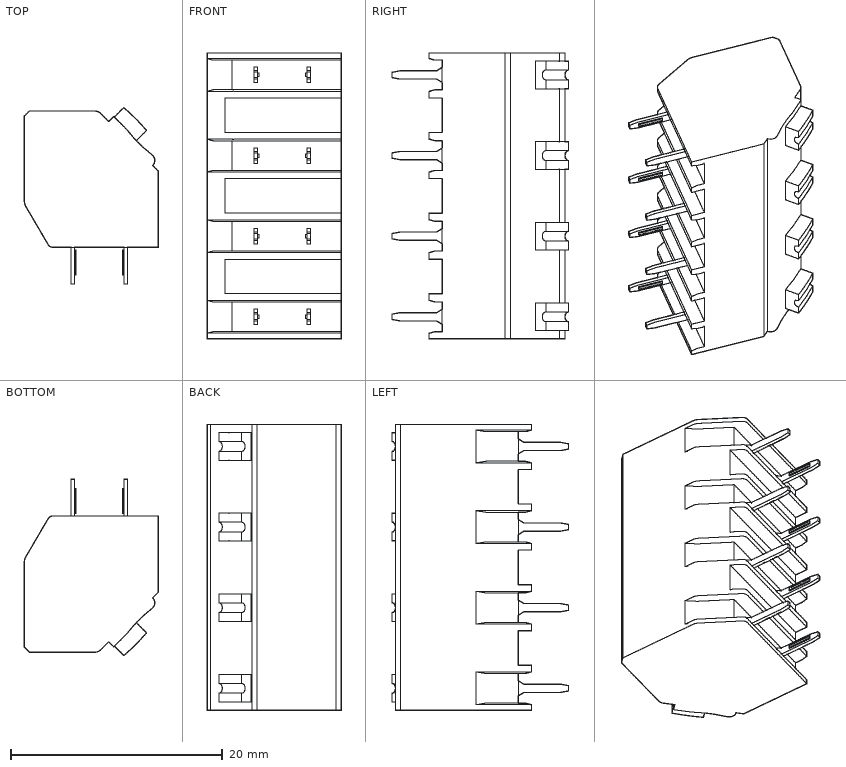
import cadquery as cq
import math

width = 12.7
depth = 12.9
length = 27.05

corner_chamfer = 0.5
slant_height = 4.1
slant_run = 2.4
slant_top_radius = 1.05
slant_bottom_radius = 0.55
bevel_level = 19.92
plate_level = 20.85
plate_start_skew = -3.92
plate_end_skew = 4.4
bevel_radius = 0.65
dish_start_skew = -1.43
dish_end_skew = 3.25
dish_depth = 0.1

contact_count = 4
contact_pitch = 7.63

recess_depth = 1.27
recess_top = 5.28
slot_width = 2.8
slot_mouth = 3.1
rib_bevel = 0.57
pocket_width = 3.25
clearance = 0.27

pin_xs = (4.6, 9.6)
pin_length = 3.5
pin_thickness = 0.35
pin_width = 0.8
pin_root_width = 1.45
pin_flare = 0.51
pin_tip_width = 0.51
pin_tip_length = 0.78
pin_embed = 0.27
bead_height = 0.1
bead_width = 0.32
bead_top = -0.25
bead_bottom = -2.6

button_length = 3.05
button_width = 2.62
button_height = 1.27
button_crown = 0.05
button_setback = 0.08
groove_radius = 0.45

ALONG = cq.Vector(1, -1, 0).normalized()
OUTWARD = cq.Vector(1, 1, 0).normalized()


def bevel_point(level, skew):
    """Point with x + y = level and x - y = skew."""
    return ((level + skew) / 2, (level - skew) / 2)


def corner_edge(body, point):
    """Edge parallel to Z at the given outline corner."""
    return body.edges(cq.selectors.NearestToPointSelector((point[0], point[1], 0)))


def make_housing():
    slant_top = (0, slant_height)
    slant_bottom = (slant_run, 0)
    bevel_top = (bevel_level - depth, depth)
    plate_end = bevel_point(plate_level, plate_end_skew)
    dish_start = bevel_point(plate_level, dish_start_skew)
    dish_end = bevel_point(plate_level, dish_end_skew)
    dish_middle = bevel_point(
        plate_level - dish_depth * math.sqrt(2), (dish_start_skew + dish_end_skew) / 2
    )
    lower_outline = [
        slant_bottom,
        (width, 0),
        (width, bevel_level - width),
        bevel_point(bevel_level, plate_end_skew),
        plate_end,
        dish_end,
    ]
    upper_outline = [
        bevel_point(plate_level, plate_start_skew),
        bevel_point(bevel_level, plate_start_skew),
        bevel_top,
        (corner_chamfer, depth),
        (0, depth - corner_chamfer),
        slant_top,
    ]
    body = (
        cq.Workplane("XY")
        .polyline(lower_outline)
        .threePointArc(dish_middle, dish_start)
        .polyline(upper_outline, includeCurrent=True)
        .close()
        .extrude(length / 2, both=True)
    )
    roundings = (
        (slant_top, slant_top_radius),
        (slant_bottom, slant_bottom_radius),
        (bevel_top, bevel_radius),
        (plate_end, bevel_radius),
    )
    for point, radius in roundings:
        body = corner_edge(body, point).fillet(radius)
    return body


def bevel_prism(start, end):
    """Flared part of a slot along one rib edge, with the rib on the left of start -> end."""
    direction = cq.Vector(end[0] - start[0], end[1] - start[1], 0)
    inward = cq.Vector(-direction.y, direction.x, 0)
    plane = cq.Plane(origin=(start[0], start[1], 0), xDir=inward, normal=direction)
    section = [
        (0, -slot_mouth / 2),
        (0, slot_mouth / 2),
        (rib_bevel, slot_width / 2),
        (rib_bevel, -slot_width / 2),
    ]
    return cq.Workplane(plane).polyline(section).close().extrude(direction.Length)


def make_slot():
    """Recess around one pair of pins, flared towards the rib edges."""
    floor_start = slant_run * (recess_top - recess_depth) / slant_height
    region = [
        (-clearance, recess_top),
        (0, recess_top),
        (floor_start, recess_depth),
        (width + clearance, recess_depth),
        (width + clearance, -clearance),
        (-clearance, -clearance),
    ]
    slot = cq.Workplane("XY").polyline(region).close().extrude(slot_width / 2, both=True)
    envelope = cq.Workplane("XY").polyline(region).close().extrude(slot_mouth / 2, both=True)
    rib_edge = [(0, recess_top), (0, slant_height), (slant_run, 0), (width, 0)]
    for start, end in zip(rib_edge, rib_edge[1:]):
        slot = slot.union(bevel_prism(start, end).intersect(envelope))
    return slot


def make_pocket():
    """Relief of the lower side between two neighbouring contacts."""
    return cq.Workplane("XY").box(
        width + 2 * clearance, recess_depth + clearance, pocket_width, centered=(False, False, True)
    ).translate((-clearance, -clearance, 0))


def make_pin(x, inward):
    """Flat solder pin at x, with a bead on the side that inward (+1 or -1) points to."""
    half_profile = [
        (recess_depth + pin_embed, pin_root_width / 2),
        (recess_depth, pin_root_width / 2),
        (recess_depth - pin_flare, pin_width / 2),
        (pin_tip_length - pin_length, pin_width / 2),
        (-pin_length, pin_tip_width / 2),
    ]
    mirrored = [(y, -z) for y, z in reversed(half_profile)]
    blade = cq.Workplane("YZ").polyline(half_profile + mirrored).close()
    blade = blade.extrude(pin_thickness / 2, both=True)
    bead = cq.Workplane("XY").box(
        pin_thickness / 2 + bead_height, bead_top - bead_bottom, bead_width, centered=(False, False, True)
    ).translate((0, bead_bottom, 0))
    if inward < 0:
        bead = bead.mirror("YZ")
    return blade.union(bead).translate((x, 0, 0))


def make_button():
    """Push button standing on the raised plate, with a round groove along its top."""
    plate_start = cq.Vector(*bevel_point(plate_level, plate_start_skew))
    base = plate_start + ALONG * button_setback
    plane = cq.Plane(origin=base.toTuple(), xDir=ALONG, normal=(0, 0, 1))
    crown = (button_length / 2, button_height + button_crown)
    block = (
        cq.Workplane(plane)
        .moveTo(0, -dish_depth)
        .lineTo(0, button_height)
        .threePointArc(crown, (button_length, button_height))
        .lineTo(button_length, -dish_depth)
        .close()
        .extrude(button_width / 2, both=True)
    )
    groove = cq.Solid.makeCylinder(
        groove_radius, button_length, base + OUTWARD * button_height, ALONG
    )
    return block.cut(cq.Workplane(groove))


contact_zs = [(i - (contact_count - 1) / 2) * contact_pitch for i in range(contact_count)]

result = make_housing()

slot = make_slot()
for z in contact_zs:
    result = result.cut(slot.translate((0, 0, z)))

pocket = make_pocket()
for z in contact_zs[:-1]:
    result = result.cut(pocket.translate((0, 0, z + contact_pitch / 2)))

contact = make_button()
for x, inward in zip(pin_xs, (1, -1)):
    contact = contact.union(make_pin(x, inward))
for z in contact_zs:
    result = result.union(contact.translate((0, 0, z)))